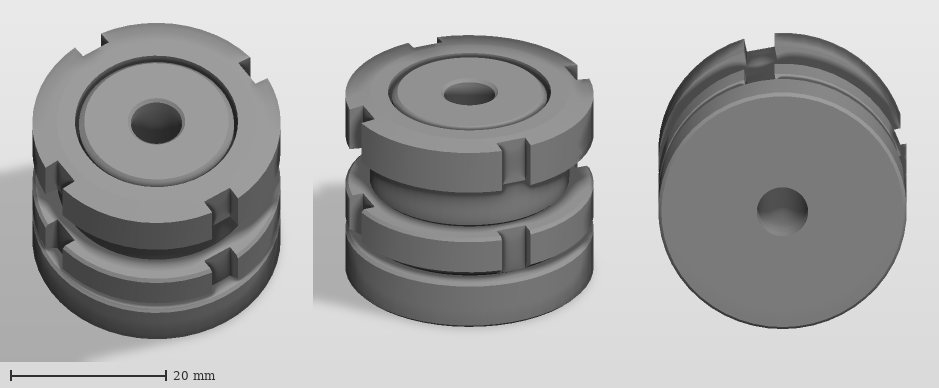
import cadquery as cq
import math

outer_radius = 16.0
total_height = 26.0
band_height = total_height / 4
base_top = band_height
spindle_flange_top = 2 * band_height
nut_flange_bottom = 3 * band_height

edge_chamfer = 0.4

sphere_radius = 25.0
sphere_rim_height = 8.2
sphere_center_height = sphere_rim_height + math.sqrt(sphere_radius**2 - outer_radius**2)
sphere_bottom = sphere_center_height - sphere_radius
seat_radius = math.sqrt(sphere_radius**2 - (sphere_center_height - base_top) ** 2)

hole_radius = 3.3
hole_chamfer = 0.4

stem_radius = 10.0
stem_chamfer = 0.7
bore_radius = 10.5

hub_radius = 12.85
flange_taper = 0.35

slot_count = 4
slot_width = 4.0
slot_floor_radius = 14.0


def sphere_arc_middle(start_radius, end_radius):
    """Point of the joint sphere's lower half midway in radius."""
    radius = (start_radius + end_radius) / 2
    return radius, sphere_center_height - math.sqrt(sphere_radius**2 - radius**2)


def revolve_profile(profile):
    """Turn a closed radius-height profile around the Z axis."""
    return profile.close().revolve(360, (0, 0, 0), (0, 1, 0))


def drill(body):
    """Cut the screw hole along the axis."""
    return body.cut(cq.Workplane("XY").circle(hole_radius).extrude(total_height))


def cut_wrench_slots(body):
    """Cut the evenly spaced slots through the rim of a flange."""
    slot_length = 2 * (outer_radius - slot_floor_radius)
    slot = (
        cq.Workplane("XY")
        .center(slot_floor_radius + slot_length / 2, 0)
        .rect(slot_length, slot_width)
        .extrude(total_height)
    )
    for index in range(slot_count):
        body = body.cut(slot.rotate((0, 0, 0), (0, 0, 1), index * 360 / slot_count))
    return body


def make_base():
    """Round foot with a concave spherical seat in its top face."""
    profile = (
        cq.Workplane("XZ")
        .moveTo(0, 0)
        .lineTo(outer_radius - edge_chamfer, 0)
        .lineTo(outer_radius, edge_chamfer)
        .lineTo(outer_radius, base_top - edge_chamfer)
        .lineTo(outer_radius - edge_chamfer, base_top)
        .lineTo(seat_radius, base_top)
        .threePointArc(sphere_arc_middle(seat_radius, 0), (0, sphere_bottom))
    )
    return drill(revolve_profile(profile))


def make_spindle():
    """Slotted flange with a spherical underside and a stem rising through the nut."""
    profile = (
        cq.Workplane("XZ")
        .moveTo(0, sphere_bottom)
        .threePointArc(sphere_arc_middle(0, outer_radius), (outer_radius, sphere_rim_height))
        .lineTo(outer_radius, spindle_flange_top - edge_chamfer)
        .lineTo(outer_radius - edge_chamfer, spindle_flange_top)
        .lineTo(stem_radius, spindle_flange_top)
        .lineTo(stem_radius, total_height - stem_chamfer)
        .lineTo(stem_radius - stem_chamfer, total_height)
        .lineTo(0, total_height)
    )
    spindle = cut_wrench_slots(drill(revolve_profile(profile)))
    countersink = cq.Solid.makeCone(
        hole_radius,
        hole_radius + hole_chamfer,
        hole_chamfer,
        cq.Vector(0, 0, total_height - hole_chamfer),
    )
    return spindle.cut(cq.Workplane(countersink))


def make_nut():
    """Slotted flange with a hub below it, bored with clearance around the stem."""
    profile = (
        cq.Workplane("XZ")
        .moveTo(bore_radius, spindle_flange_top)
        .lineTo(hub_radius - edge_chamfer, spindle_flange_top)
        .lineTo(hub_radius, spindle_flange_top + edge_chamfer)
        .lineTo(hub_radius, nut_flange_bottom)
        .lineTo(outer_radius, nut_flange_bottom + flange_taper)
        .lineTo(outer_radius, total_height - flange_taper)
        .lineTo(hub_radius, total_height)
        .lineTo(bore_radius, total_height)
    )
    return cut_wrench_slots(revolve_profile(profile))


base = make_base()
spindle = make_spindle()
nut = make_nut()

result = cq.Compound.makeCompound([base.val(), spindle.val(), nut.val()])